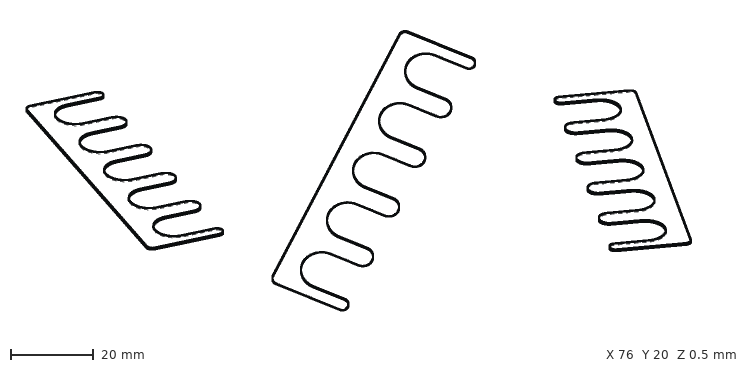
import cadquery as cq

length = 76.0
depth = 20.0
thickness = 0.5

slot_count = 5
end_finger_width = 3.0
inner_finger_width = 5.0
slot_width = (length - 2 * end_finger_width - (slot_count - 1) * inner_finger_width) / slot_count
slot_pitch = slot_width + inner_finger_width

spine_depth = 5.0
corner_radius = 1.5

left = -length / 2
right = length / 2
back = depth / 2
front = -depth / 2
slot_radius = slot_width / 2
slot_center_y = front + spine_depth + slot_radius


def add_finger_tip(outline, start_x, width):
    """Round a finger end with a half circle, running towards +X."""
    tip_radius = width / 2
    shoulder_y = back - tip_radius
    return (
        outline.lineTo(start_x, shoulder_y)
        .threePointArc((start_x + tip_radius, back), (start_x + width, shoulder_y))
    )


def add_slot_bottom(outline, start_x):
    """Run down into a slot and around its half-round bottom, towards +X."""
    return (
        outline.lineTo(start_x, slot_center_y)
        .threePointArc(
            (start_x + slot_radius, slot_center_y - slot_radius),
            (start_x + slot_width, slot_center_y),
        )
    )


outline = cq.Workplane("XY").workplane(offset=-thickness / 2).moveTo(left, front)
outline = add_finger_tip(outline, left, end_finger_width)
for index in range(slot_count):
    slot_start = left + end_finger_width + index * slot_pitch
    is_last = index == slot_count - 1
    finger_width = end_finger_width if is_last else inner_finger_width
    outline = add_slot_bottom(outline, slot_start)
    outline = add_finger_tip(outline, slot_start + slot_width, finger_width)
plate = outline.lineTo(right, front).close().extrude(thickness)

result = plate.edges("|Z").edges("<Y").fillet(corner_radius)